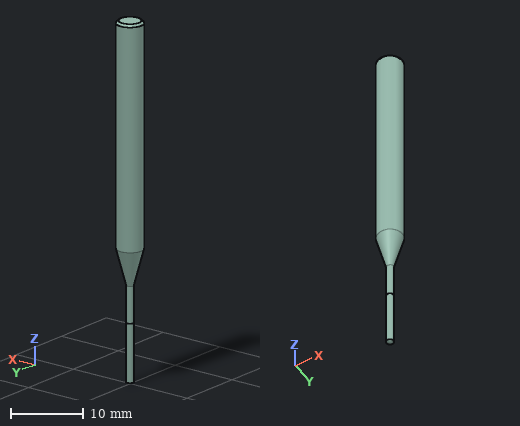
import cadquery as cq
import math

total_length = 53.0
shank_diameter = 4.0
shank_chamfer = 0.35
taper_top = 19.75
taper_bottom = 14.35
cutter_length = 8.9
cutter_diameter = 1.1
neck_diameter = cutter_diameter
point_angle = 140.0

shank_radius = shank_diameter / 2
neck_radius = neck_diameter / 2
cutter_radius = cutter_diameter / 2
point_height = cutter_radius / math.tan(math.radians(point_angle / 2))


def revolve_about_z(plane, profile):
    """Turn a closed (radial offset, height) profile around the Z axis."""
    return cq.Workplane(plane).polyline(profile).close().revolve(360, (0, 0), (0, 1))


def make_shank():
    """Chamfered cylindrical shank with its taper and neck, on the -X side of the axis."""
    return revolve_about_z("XZ", [
        (0, cutter_length),
        (-neck_radius, cutter_length),
        (-neck_radius, taper_bottom),
        (-shank_radius, taper_top),
        (-shank_radius, total_length - shank_chamfer),
        (-shank_radius + shank_chamfer, total_length),
        (0, total_length),
    ])


def make_cutter():
    """Plain cutting end with a conical point, butted against the neck."""
    return revolve_about_z("YZ", [
        (0, 0),
        (-cutter_radius, point_height),
        (-cutter_radius, cutter_length),
        (0, cutter_length),
    ])


shank = make_shank()
cutter = make_cutter()

result = cq.Compound.makeCompound([shank.val(), cutter.val()])